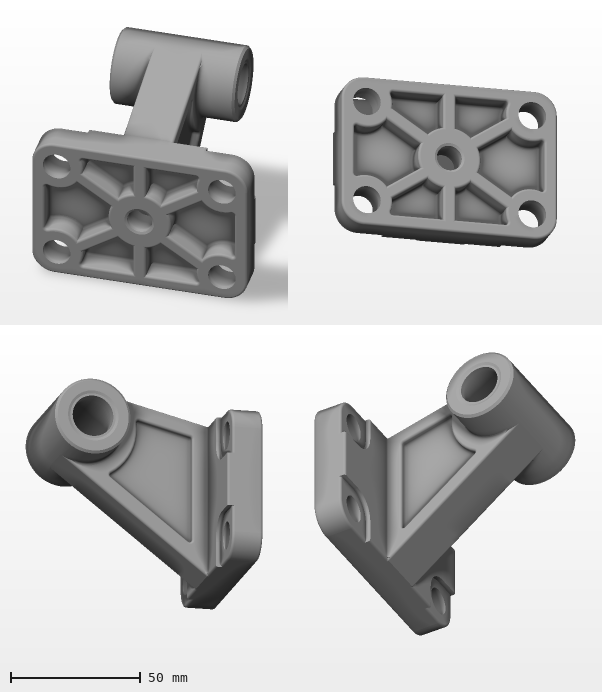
import cadquery as cq
import math

PLATE_WIDTH = 86.0
PLATE_HEIGHT = 60.0
PLATE_THICKNESS = 14.0
PLATE_CORNER_RADIUS = 9.0
EDGE_ROUND = 0.95

HOLE_DIAMETER = 11.0
HOLE_X = 33.0
HOLE_Z = 20.0
HOLE_CENTRES = [(x, z) for x in (HOLE_X, -HOLE_X) for z in (HOLE_Z, -HOLE_Z)]
SEAT_RADIUS = 9.5
SEAT_DEPTH = 2.0

CENTRE_HOLE_DIAMETER = 10.0
CENTRE_HOLE_DEPTH = 12.0
CENTRE_HOLE_CHAMFER_WIDTH = 0.95
CENTRE_HOLE_CHAMFER_DEPTH = 0.5

POCKET_DEPTH = 9.0
POCKET_HALF_WIDTH = 38.0
POCKET_HALF_HEIGHT = 25.2
POCKET_CORNER_RADIUS = 1.0
RIB_THICKNESS = 5.0
DIAGONAL_ANGLE = 33.0
DIAGONAL_OFFSET = 0.4
CENTRE_BOSS_RADIUS = 12.5
HOLE_BOSS_RADIUS = 10.3

OVERALL_DEPTH = 78.0
BARREL_DIAMETER = 30.0
BARREL_LENGTH = 50.0
BARREL_RADIUS = BARREL_DIAMETER / 2
BARREL_Y = OVERALL_DEPTH - BARREL_RADIUS
BARREL_Z = 27.0
BARREL_CHAMFER = 0.95
BUSH_SEAT_DIAMETER = 18.0
BUSH_SEAT_CHAMFER_WIDTH = 1.0
BUSH_SEAT_CHAMFER_DEPTH = 0.4
BORE_DIAMETER = 16.2

ARM_WIDTH = 20.0
PANEL_MARGIN = 6.0
PANEL_DEPTH = 3.0

HALF_HEIGHT = PLATE_HEIGHT / 2


def along_x(start_x=0.0):
    """Workplane with local axes Y and Z, extruding toward +X."""
    return cq.Workplane("YZ", origin=(start_x, 0, 0))


def into_plate(depth_from_front=0.0):
    """Workplane with local axes X and Z, extruding toward -Y."""
    return cq.Workplane("XZ", origin=(0, depth_from_front, 0))


def y_cylinder(x, z, radius, depth):
    return into_plate(depth).center(x, z).circle(radius).extrude(depth)


def tangent_point(corner_y, corner_z, side):
    """Point where a line from the corner touches the barrel (side +1 above, -1 below)."""
    reach_y = corner_y - BARREL_Y
    reach_z = corner_z - BARREL_Z
    reach = math.hypot(reach_y, reach_z)
    bearing = math.atan2(reach_z, reach_y) - side * math.acos(BARREL_RADIUS / reach)
    return (BARREL_Y + BARREL_RADIUS * math.cos(bearing), BARREL_Z + BARREL_RADIUS * math.sin(bearing))


def plate_pockets():
    """Six pockets: one rounded field divided by the bosses, the upright ribs and the diagonal ribs."""
    field = into_plate(POCKET_DEPTH).rect(2 * POCKET_HALF_WIDTH, 2 * POCKET_HALF_HEIGHT).extrude(POCKET_DEPTH)
    for x, z in HOLE_CENTRES:
        field = field.cut(y_cylinder(x, z, HOLE_BOSS_RADIUS, POCKET_DEPTH))
    field = field.edges("|Y").fillet(POCKET_CORNER_RADIUS)
    field = field.cut(y_cylinder(0, 0, CENTRE_BOSS_RADIUS, POCKET_DEPTH))
    upright = into_plate(POCKET_DEPTH).rect(RIB_THICKNESS, PLATE_HEIGHT).extrude(POCKET_DEPTH)
    field = field.cut(upright)
    diagonal = (
        into_plate(POCKET_DEPTH)
        .center(PLATE_WIDTH / 2, DIAGONAL_OFFSET)
        .rect(PLATE_WIDTH, RIB_THICKNESS)
        .extrude(POCKET_DEPTH)
        .rotate((0, 0, 0), (0, 1, 0), -DIAGONAL_ANGLE)
    )
    diagonals = diagonal.union(diagonal.mirror("YZ"))
    field = field.cut(diagonals).cut(diagonals.mirror("XY"))
    return field.faces(">Y").edges().fillet(EDGE_ROUND)


def plate_blank(thickness):
    blank = into_plate(thickness).rect(PLATE_WIDTH, PLATE_HEIGHT).extrude(thickness)
    return blank.edges("|Y").fillet(PLATE_CORNER_RADIUS).faces(">Y").edges().fillet(EDGE_ROUND)


def corner_seat(x, z):
    """Cut-away behind one bolt hole, open to the plate's corner, with a round inner corner."""
    reach_x = math.copysign(PLATE_WIDTH, x)
    reach_z = math.copysign(PLATE_WIDTH, z)
    inner_x = x - math.copysign(SEAT_RADIUS, x)
    inner_z = z - math.copysign(SEAT_RADIUS, z)
    bend = SEAT_RADIUS * math.sqrt(0.5)
    bend_point = (x - math.copysign(bend, x), z - math.copysign(bend, z))
    return (
        into_plate(PLATE_THICKNESS)
        .moveTo(inner_x, reach_z)
        .lineTo(inner_x, z)
        .threePointArc(bend_point, (x, inner_z))
        .lineTo(reach_x, inner_z)
        .lineTo(reach_x, reach_z)
        .close()
        .extrude(2 * SEAT_DEPTH)
    )


def plate():
    """Thick plate with cut-away corners over a thinner plate that carries the seats."""
    body = plate_blank(PLATE_THICKNESS)
    for x, z in HOLE_CENTRES:
        body = body.cut(corner_seat(x, z))
    body = body.union(plate_blank(PLATE_THICKNESS - SEAT_DEPTH))
    body = body.cut(plate_pockets())
    return body.faces("<Y").edges().fillet(EDGE_ROUND)


def arm_profile(width, inset=0.0):
    """Side outline of the arm, tangent to the barrel, moved inward by the inset; centred on x = 0."""
    inside_plate = PLATE_THICKNESS - 2 * EDGE_ROUND
    outline = (
        along_x(-width / 2)
        .polyline([
            (inside_plate, HALF_HEIGHT),
            (inside_plate, -HALF_HEIGHT),
            (PLATE_THICKNESS, -HALF_HEIGHT),
            tangent_point(PLATE_THICKNESS, -HALF_HEIGHT, -1),
            tangent_point(PLATE_THICKNESS, HALF_HEIGHT, 1),
            (PLATE_THICKNESS, HALF_HEIGHT),
        ])
        .close()
    )
    if inset:
        outline = outline.offset2D(-inset)
    return outline.extrude(width)


def panel():
    """Recess in the +X side of the arm: an inset of its outline, ended by an arc around the barrel."""
    floor_x = ARM_WIDTH / 2 - PANEL_DEPTH
    near_plate = PLATE_THICKNESS + PANEL_MARGIN
    far_size = PLATE_WIDTH
    window = along_x(floor_x).center(near_plate + far_size / 2, 0).rect(far_size, far_size).extrude(PANEL_DEPTH)
    around_barrel = (
        along_x(floor_x)
        .center(BARREL_Y, BARREL_Z)
        .circle(BARREL_RADIUS + PANEL_MARGIN)
        .extrude(PANEL_DEPTH)
    )
    recess = arm_profile(ARM_WIDTH, PANEL_MARGIN).intersect(window).cut(around_barrel)
    recess = recess.edges("|X").fillet(EDGE_ROUND)
    return recess.faces("<X").edges().fillet(EDGE_ROUND)


def arm():
    body = arm_profile(ARM_WIDTH)
    recess = panel()
    body = body.cut(recess).cut(recess.mirror("YZ"))
    return body.faces("<X or >X").edges().fillet(EDGE_ROUND)


def collar():
    """Concave blend between the barrel and the flat sides of the arm."""
    inner = ARM_WIDTH / 2
    outer = inner + EDGE_ROUND
    bend = EDGE_ROUND * (1 - math.sqrt(0.5))
    ring = (
        cq.Workplane("XY")
        .lineTo(outer, 0)
        .lineTo(outer, BARREL_RADIUS)
        .threePointArc((inner + bend, BARREL_RADIUS + bend), (inner, BARREL_RADIUS + EDGE_ROUND))
        .lineTo(0, BARREL_RADIUS + EDGE_ROUND)
        .close()
        .revolve(360, (0, 0, 0), (1, 0, 0))
        .translate((0, BARREL_Y, BARREL_Z))
    )
    half = ring.intersect(arm_profile(2 * outer, EDGE_ROUND))
    return half.union(half.mirror("YZ"))


def foot():
    """Concave blend between the sides of the arm and the plate."""
    inner = ARM_WIDTH / 2
    outer = inner + EDGE_ROUND
    top = PLATE_THICKNESS + EDGE_ROUND
    bend = EDGE_ROUND * (1 - math.sqrt(0.5))
    length = PLATE_HEIGHT - 2 * EDGE_ROUND
    half = (
        cq.Workplane("XY", origin=(0, 0, -length / 2))
        .moveTo(inner - EDGE_ROUND, PLATE_THICKNESS - EDGE_ROUND)
        .lineTo(outer, PLATE_THICKNESS - EDGE_ROUND)
        .lineTo(outer, PLATE_THICKNESS)
        .threePointArc((inner + bend, PLATE_THICKNESS + bend), (inner, top))
        .lineTo(inner - EDGE_ROUND, top)
        .close()
        .extrude(length)
    )
    return half.union(half.mirror("YZ"))


def barrel():
    body = along_x(-BARREL_LENGTH / 2).center(BARREL_Y, BARREL_Z).circle(BARREL_RADIUS).extrude(BARREL_LENGTH)
    return body.faces("<X or >X").edges().chamfer(BARREL_CHAMFER)


def barrel_bore():
    """Bush bore right through, with a lead-in chamfer down to the bush face at both ends."""
    half = BARREL_LENGTH / 2
    seat_radius = BUSH_SEAT_DIAMETER / 2
    bush_face = half - BUSH_SEAT_CHAMFER_DEPTH
    cutter = (
        cq.Workplane("XY")
        .lineTo(0, BORE_DIAMETER / 2)
        .lineTo(bush_face, BORE_DIAMETER / 2)
        .lineTo(bush_face, seat_radius)
        .lineTo(half, seat_radius + BUSH_SEAT_CHAMFER_WIDTH)
        .lineTo(half, 0)
        .close()
        .revolve(360, (0, 0, 0), (1, 0, 0))
        .translate((0, BARREL_Y, BARREL_Z))
    )
    return cutter.union(cutter.mirror("YZ"))


def bolt_holes():
    holes = cq.Workplane("XZ")
    for x, z in HOLE_CENTRES:
        holes = holes.union(y_cylinder(x, z, HOLE_DIAMETER / 2, PLATE_THICKNESS))
    return holes


def centre_hole():
    """Blind hole along Y with a chamfered mouth."""
    radius = CENTRE_HOLE_DIAMETER / 2
    mouth = radius + CENTRE_HOLE_CHAMFER_WIDTH
    return (
        cq.Workplane("XY")
        .lineTo(mouth, 0)
        .lineTo(radius, CENTRE_HOLE_CHAMFER_DEPTH)
        .lineTo(radius, CENTRE_HOLE_DEPTH)
        .lineTo(0, CENTRE_HOLE_DEPTH)
        .close()
        .revolve(360, (0, 0, 0), (0, 1, 0))
    )


result = (
    plate()
    .union(arm())
    .union(foot())
    .union(barrel())
    .union(collar())
    .cut(barrel_bore())
    .cut(bolt_holes())
    .cut(centre_hole())
)